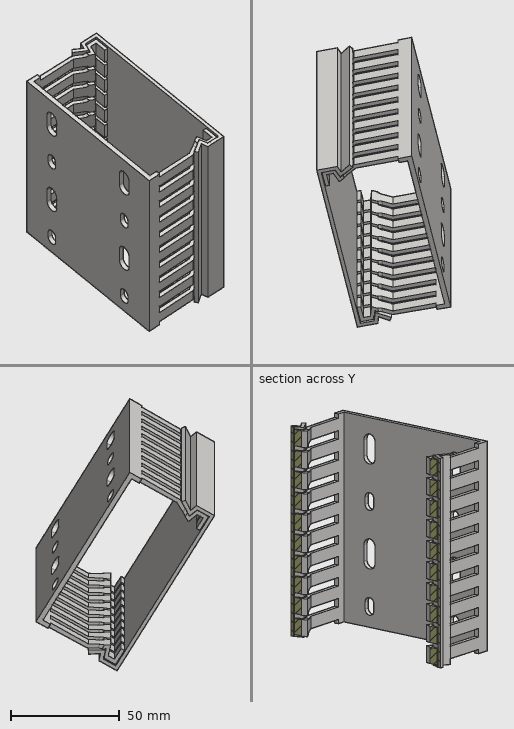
import cadquery as cq


length = 100.0
cover_width = 88.0
total_height = 44.3
wall = 1.8
duct_side_wall = 2.0
clearance = 0.2

cover_half_width = cover_width / 2
cover_inner_half_width = cover_half_width - wall
cover_inner_height = total_height - wall
duct_half_width = cover_inner_half_width - clearance
duct_inner_half_width = duct_half_width - duct_side_wall
duct_height = cover_inner_height - clearance

floor_thickness = 2.4
base_half_width = 42.35
lip_length = 8.0

groove_top = 36.2
groove_root_half_width = 37.6
groove_root_height = 34.65
groove_bottom = 27.25

crest_top = 37.3
crest_half_width = 35.0
crest_height = 35.6
crest_bottom = 26.7

hook_outer_top = 34.6
hook_bend_half_width = 40.6
hook_bend_height = 33.5
hook_tip_half_width = 43.7
hook_tip_height = 28.95
hook_heel_half_width = 42.05
hook_heel_height = 27.75
hook_root_half_width = 37.9
hook_root_height = 34.5
hook_inner_top = 36.0

slot_pitch = 10.0
slot_width = 4.0
slot_bottom = 6.5
slot_round_center = 31.35
finger_gap = 2.0
slot_count = round(length / slot_pitch) + 1

mount_half_spacing = 25.0
mount_row_pitch = 50.0
mount_row_count = 2
large_width = 6.5
large_length = 14.3
large_first_z = 35.0
small_width = 5.0
small_length = 8.4
small_first_z = 10.0


def mirrored_profile(right_half):
    """Extrude along Z a profile symmetric about X = 0, given by the corners of its +X half."""
    left_half = [(-x, y) for x, y in reversed(right_half)]
    return cq.Workplane("XY").polyline(right_half + left_half).close().extrude(length)


def finger_slot(z):
    """Round-ended slot through both side walls that narrows to a gap up to the finger ends."""
    straight_length = slot_round_center - slot_bottom
    straight = cq.Workplane("XY").box(cover_width, straight_length, slot_width, centered=(True, False, True))
    round_end = (
        cq.Workplane("YZ").center(straight_length, 0).circle(slot_width / 2)
        .extrude(cover_half_width, both=True)
    )
    gap = cq.Workplane("XY").box(
        cover_width, total_height - slot_bottom, finger_gap, centered=(True, False, True)
    )
    return straight.union(round_end).union(gap).translate((0, slot_bottom, z))


def mounting_slots(width, slot_length, first_z):
    """Obround holes through the floor, long in Z, in a column on each side."""
    places = [
        (x, first_z + row * mount_row_pitch)
        for x in (-mount_half_spacing, mount_half_spacing)
        for row in range(mount_row_count)
    ]
    return (
        cq.Workplane("XZ").pushPoints(places).slot2D(slot_length, width, 90)
        .extrude(-floor_thickness)
    )


def make_duct():
    duct = mirrored_profile([
        (base_half_width, 0),
        (duct_half_width, groove_bottom),
        (groove_root_half_width, groove_root_height),
        (duct_half_width, groove_top),
        (duct_half_width, duct_height),
        (duct_half_width - lip_length, duct_height),
        (duct_half_width - lip_length, duct_height - wall),
        (duct_inner_half_width, duct_height - wall),
        (duct_inner_half_width, crest_top),
        (crest_half_width, crest_height),
        (duct_inner_half_width, crest_bottom),
        (duct_inner_half_width, floor_thickness),
    ])
    for i in range(slot_count):
        duct = duct.cut(finger_slot(i * slot_pitch))
    duct = duct.cut(mounting_slots(large_width, large_length, large_first_z))
    return duct.cut(mounting_slots(small_width, small_length, small_first_z))


def make_cover():
    return mirrored_profile([
        (cover_half_width, total_height),
        (cover_half_width, hook_outer_top),
        (hook_bend_half_width, hook_bend_height),
        (hook_tip_half_width, hook_tip_height),
        (hook_heel_half_width, hook_heel_height),
        (hook_root_half_width, hook_root_height),
        (cover_inner_half_width, hook_inner_top),
        (cover_inner_half_width, cover_inner_height),
    ])


duct = make_duct()
cover = make_cover()

result = cq.Compound.makeCompound([duct.val(), cover.val()])